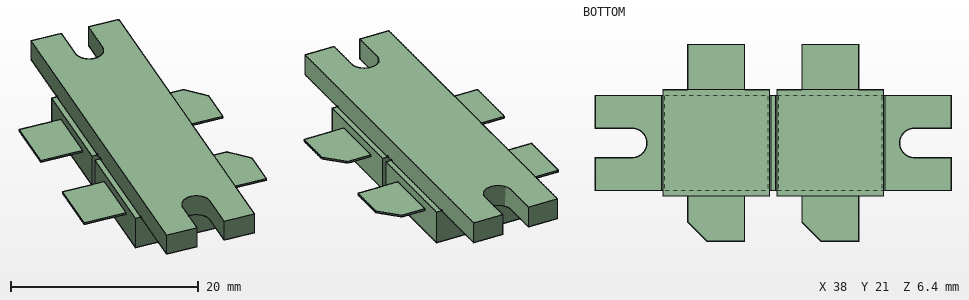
import cadquery as cq

flange_length = 38.0
flange_width = 10.15
flange_thickness = 2.5
slot_width = 3.1
slot_depth = 5.5

body_size = 11.35
body_pitch = 12.15
frame_height = 1.03
total_height = 6.4
cap_height = total_height - flange_thickness - frame_height

lead_width = 6.08
lead_thickness = 0.23
lead_span = 21.0
lead_corner_cut = 2.05

groove_diameter = 0.375
groove_depth = 0.1

flange_bottom = total_height / 2 - flange_thickness
frame_bottom = flange_bottom - frame_height
body_bottom = -total_height / 2
body_centers = (-body_pitch / 2, body_pitch / 2)


def plate(length, width, thickness, x_center, z_bottom):
    """Rectangular plate centred on Y = 0."""
    block = cq.Workplane("XY").box(length, width, thickness, centered=(True, True, False))
    return block.translate((x_center, 0, z_bottom))


def end_slot(side):
    """Round-bottomed slot open at the flange end on the given side (-1 or +1)."""
    round_center = side * (flange_length / 2 - slot_depth + slot_width / 2)
    straight_length = flange_length / 2 - abs(round_center)
    straight_center = round_center + side * straight_length / 2
    straight = plate(straight_length, slot_width, flange_thickness, straight_center, flange_bottom)
    rounded = cq.Workplane("XY", origin=(round_center, 0, flange_bottom))
    return straight.union(rounded.circle(slot_width / 2).extrude(flange_thickness))


def relief_groove(x_position):
    """Shallow round groove running across the full flange width."""
    groove_axis = flange_bottom + groove_depth - groove_diameter / 2
    section = cq.Workplane("XZ", origin=(x_position, 0, groove_axis))
    return section.circle(groove_diameter / 2).extrude(flange_width / 2, both=True)


def leads(x_center):
    """Lead pair through one body, with the -X corner of the +Y lead cut off."""
    half_width = lead_width / 2
    half_span = lead_span / 2
    outline = [
        (-half_width, -half_span),
        (half_width, -half_span),
        (half_width, half_span),
        (-half_width + lead_corner_cut, half_span),
        (-half_width, half_span - lead_corner_cut),
    ]
    sheet = cq.Workplane("XY", origin=(x_center, 0, frame_bottom - lead_thickness))
    return sheet.polyline(outline).close().extrude(lead_thickness)


result = plate(flange_length, flange_width, flange_thickness, 0, flange_bottom)
for side in (-1, 1):
    result = result.cut(end_slot(side))

for x_center in body_centers:
    for side in (-1, 1):
        result = result.cut(relief_groove(x_center + side * body_size / 2))

for x_center in body_centers:
    cap = plate(body_size, body_size, cap_height, x_center, body_bottom)
    frame = plate(body_size, body_size, frame_height, x_center, frame_bottom)
    result = result.union(cap).union(frame).union(leads(x_center))